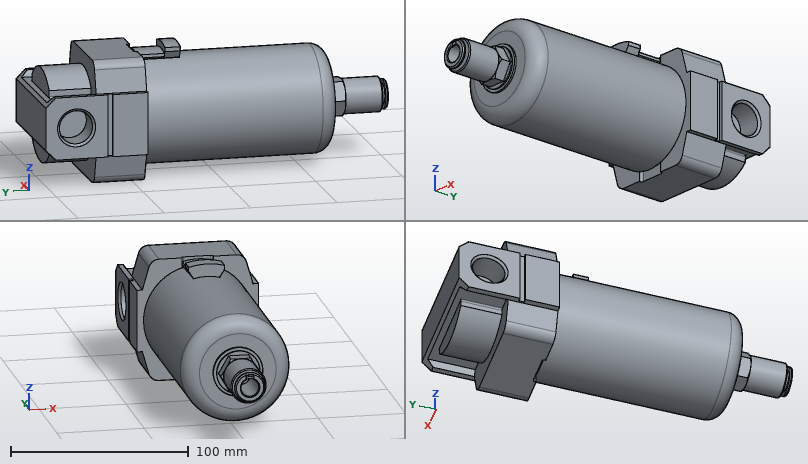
import cadquery as cq
import math


head_front = -59.2
block_back = -29.9
head_half_height = 35.5
block_edge_radius = 6.0
flank_angle = 16.0
flank_base_half_width = 31.8
plate_half_width = 35.0
plate_half_height = 18.0
plate_chamfer = 5.6

recess_depth = 3.7
recess_wall_run = 1.9
boss_radius = 27.4
boss_back = -5.6
boss_half_width = 20.1
boss_foot_radius = 0.9

port_y = -17.8
port_mouth_radius = 11.0
port_radius = 9.6
port_chamfer = port_mouth_radius - port_radius
port_depth = 16.0
groove_back = -35.9
groove_width = 3.1
groove_depth = 2.1

slot_half_width = 9.0
slot_depth = 1.9
slot_corner_radius = 1.3

bowl_radius = 31.1
bowl_end = -170.7
bowl_end_radius = 9.1
seat_radius = 14.2
seat_length = 1.2
seat_step_radius = 12.4
seat_step_length = 0.9

button_start = head_front - 15.9
button_end = head_front - 24.8
button_crest = 38.4
button_half_width = 10.3
button_corner_height = 34.6
stem_crest = 34.5
stem_edge_half_width = 8.9
stem_half_width = 9.0
stem_corner_height = 31.5
lock_foot_half_width = 7.6
lock_foot_height = 30.4
lock_root_height = 29.0

fitting_start = bowl_end - seat_length - seat_step_length
hex_end = bowl_end - 9.3
hex_across_flats = 19.9
hex_chamfer_angle = 30.0
barrel_radius = 10.1
barrel_end = bowl_end - 30.9
barrel_chamfer = 0.7
neck_radius = 6.1
collar_start = bowl_end - 32.7
collar_end = -205.1
collar_radius = 8.6
collar_chamfer = 0.8
bore_radius = 5.1
bore_depth = 25.0
bore_chamfer = 0.5
key_half_width = 2.2
key_height = 7.4
key_depth = 1.2


def prism(points, y_back, y_front):
    """Extrude a closed (x, z) polygon along Y, from y_back toward the front."""
    plane = cq.Workplane("XZ", origin=(0, y_back, 0))
    return plane.polyline(points).close().extrude(y_back - y_front)


def cylinder(radius, y_back, y_front):
    """Cylinder on the bowl axis."""
    return cq.Workplane("XZ", origin=(0, y_back, 0)).circle(radius).extrude(y_back - y_front)


def box(x_min, x_max, y_front, y_back, z_min, z_max):
    size = (x_max - x_min, y_back - y_front, z_max - z_min)
    return cq.Workplane("XY").box(*size, centered=False).translate((x_min, y_front, z_min))


def both_sides(points):
    """Complete the right half of an (x, z) outline, listed top down, with its mirror image."""
    return points + [(-x, z) for x, z in reversed(points)]



def octagon_block():
    flank_run = (head_half_height - plate_half_height) * math.tan(math.radians(flank_angle))
    top_half_width = flank_base_half_width - flank_run
    right_side = [
        (top_half_width, head_half_height),
        (flank_base_half_width, plate_half_height),
        (flank_base_half_width, -plate_half_height),
        (top_half_width, -head_half_height),
    ]
    block = prism(both_sides(right_side), block_back, head_front)
    corners = cq.selectors.BoxSelector(
        (-top_half_width - 1, head_front, -head_half_height - 1),
        (top_half_width + 1, block_back, head_half_height + 1),
    )
    long_edges = block.edges("|Y").edges(corners)
    return long_edges.fillet(block_edge_radius)


def plate_recess():
    """Cutter with sloping side walls that lowers the top face of the port plate behind the block."""
    floor_height = plate_half_height - recess_depth
    right_side = [
        (flank_base_half_width, plate_half_height),
        (flank_base_half_width - recess_wall_run, floor_height),
    ]
    return prism(both_sides(right_side), 0, block_back)


def boss_foot():
    """Concave round in the top right corner between the side of the boss and the recess floor."""
    floor_height = plate_half_height - recess_depth
    foot_edge = boss_half_width + boss_foot_radius
    foot_top = floor_height + boss_foot_radius
    strip = box(boss_half_width, foot_edge, block_back, boss_back, floor_height, foot_top)
    return strip.cut(cylinder(boss_foot_radius, boss_back, block_back).translate((foot_edge, 0, foot_top)))


def port_boss():
    """Round boss trimmed to flat sides, which meet the recess floors in small rounds."""
    flat_sides = box(-boss_half_width, boss_half_width, block_back, boss_back, -boss_radius, boss_radius)
    boss = cylinder(boss_radius, boss_back, block_back).intersect(flat_sides)
    right_foot = boss_foot()
    for foot in (right_foot, right_foot.mirror("YZ")):
        boss = boss.union(foot).union(foot.mirror("XY"))
    return boss


def port_plate():
    plate = box(-plate_half_width, plate_half_width, head_front, 0, -plate_half_height, plate_half_height)
    plate = plate.faces(">Y").edges("|X").chamfer(plate_chamfer)
    recess = plate_recess()
    plate = plate.cut(recess).cut(recess.mirror("XY"))
    return plate.union(port_boss())


def port():
    """Blind port cutter in the -X side, with a chamfered mouth."""
    profile = [
        (0, 0),
        (port_mouth_radius, 0),
        (port_radius, port_chamfer),
        (port_radius, port_depth),
        (0, port_depth),
    ]
    cutter = cq.Workplane("XY").polyline(profile).close().revolve(360, (0, 0), (0, 1))
    return cutter.rotate((0, 0, 0), (0, 0, 1), -90).translate((-plate_half_width, port_y, 0))


def side_groove():
    """Groove cutter across the -X side of the plate."""
    floor_x = groove_depth - plate_half_width
    return box(-plate_half_width, floor_x, groove_back - groove_width, groove_back,
               -plate_half_height, plate_half_height)


def lock_slot():
    """Slot cutter in the front face, from the top of the head down to the bowl."""
    slot = box(-slot_half_width, slot_half_width, head_front, head_front + slot_depth,
               lock_root_height, head_half_height)
    return slot.edges("|Z and >Y").fillet(slot_corner_radius)


def make_head():
    head = octagon_block().union(port_plate())
    for side_cutter in (port(), side_groove()):
        head = head.cut(side_cutter).cut(side_cutter.mirror("YZ"))
    slot = lock_slot()
    return head.cut(slot).cut(slot.mirror("XY"))



def lock_piece(right_side, crest, y_back, y_front):
    """Extruded lock profile whose top is an arc through the crest."""
    outline = both_sides(right_side)
    plane = cq.Workplane("XZ", origin=(0, y_back, 0)).moveTo(*outline[0])
    for point in outline[1:]:
        plane = plane.lineTo(*point)
    return plane.threePointArc((0, crest), outline[0]).close().extrude(y_back - y_front)


def height_on_arc(radius, half_width):
    """Height of a circle about the bowl axis at a given distance from the middle plane."""
    return math.sqrt(radius**2 - half_width**2)


def lock_button():
    foot = [
        (lock_foot_half_width, lock_foot_height),
        (lock_foot_half_width, lock_root_height),
    ]
    stem_side = [
        (stem_edge_half_width, height_on_arc(stem_crest, stem_edge_half_width)),
        (stem_half_width, stem_corner_height),
    ]
    button_side = [
        (button_half_width, height_on_arc(button_crest, button_half_width)),
        (button_half_width, button_corner_height),
    ]
    stem = lock_piece(stem_side + foot, stem_crest, head_front, button_start)
    button = lock_piece(button_side + foot, button_crest, button_start, button_end)
    return stem.union(button)


def make_bowl():
    bowl = cylinder(bowl_radius, head_front, bowl_end)
    bowl = bowl.faces("<Y").edges().fillet(bowl_end_radius)
    seat_step_start = bowl_end - seat_length
    seat = cylinder(seat_radius, bowl_end, seat_step_start)
    seat = seat.union(cylinder(seat_step_radius, seat_step_start, fitting_start))
    return bowl.union(seat).union(lock_button())



def hexagon():
    """Hexagon with flats facing up and down, its front corners turned to a cone."""
    corner_diameter = hex_across_flats / math.cos(math.radians(30))
    corner_radius = corner_diameter / 2
    blank = cq.Workplane("XZ", origin=(0, fitting_start, 0)).polygon(6, corner_diameter)
    blank = blank.extrude(fitting_start - hex_end)
    flat_radius = hex_across_flats / 2
    cone_length = (corner_radius - flat_radius) * math.tan(math.radians(hex_chamfer_angle))
    envelope_profile = [
        (0, fitting_start),
        (corner_radius, fitting_start),
        (corner_radius, hex_end + cone_length),
        (flat_radius, hex_end),
        (0, hex_end),
    ]
    envelope = cq.Workplane("XY").polyline(envelope_profile).close().revolve(360, (0, 0), (0, 1))
    return blank.intersect(envelope)


def make_drain_fitting():
    barrel = cylinder(barrel_radius, hex_end, barrel_end).faces("<Y").edges().chamfer(barrel_chamfer)
    neck = cylinder(neck_radius, barrel_end, collar_start)
    collar = cylinder(collar_radius, collar_start, collar_end).faces("<Y").edges().chamfer(collar_chamfer)
    bore_profile = [
        (0, collar_end),
        (bore_radius + bore_chamfer, collar_end),
        (bore_radius, collar_end + bore_chamfer),
        (bore_radius, collar_end + bore_depth),
        (0, collar_end + bore_depth),
    ]
    bore = cq.Workplane("XY").polyline(bore_profile).close().revolve(360, (0, 0), (0, 1))
    key_slot = box(-key_half_width, key_half_width, collar_end, collar_end + key_depth, 0, key_height)
    fitting = hexagon().union(barrel).union(neck).union(collar)
    return fitting.cut(bore).cut(key_slot)


head = make_head()
bowl = make_bowl()
drain_fitting = make_drain_fitting()

result = cq.Compound.makeCompound([head.val(), bowl.val(), drain_fitting.val()])